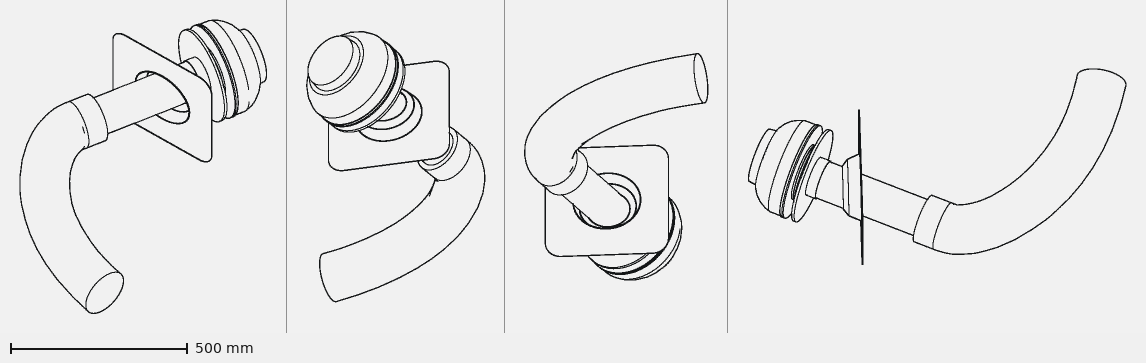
import cadquery as cq
import math

PIPE_RADIUS = 55.0
PIPE_END_Y = -337.5

COLLAR_RADIUS = 57.5
COLLAR_LENGTH = 30.0
DISC_RADIUS = 139.0
DISC_THICKNESS = 8.0
CONE_TOP_RADIUS = 100.0
CONE_TOP_Y = 13.0
STEP_TOP_Y = 18.0
SPOOL_RADIUS = 79.0
RIB_RADIUS = 83.0
RIB_BOTTOM_Y = 27.5
TOP_PLATE_BOTTOM_Y = 33.0
TOP_PLATE_THICKNESS = 4.0

CAP_BOTTOM_Y = TOP_PLATE_BOTTOM_Y + TOP_PLATE_THICKNESS
CAP_TOP_Y = 166.4
LIP_RADIUS = 140.5
LIP_HEIGHT = 6.7
DOME_RADIUS = 138.5
DOME_BASE_Y = 80.0
DOME_TOP_RADIUS = 96.0
DOME_TOP_Y = 138.0
DOME_BULGE = 8.0
NECK_BASE_RADIUS = 83.0
NECK_TOP_RADIUS = 80.0

ROOF_ANGLE = 25.0
PLATE_SIZE = 350.0
PLATE_CORNER_RADIUS = 45.0
PLATE_THICKNESS = 2.0
PLATE_CENTER = (20.4, -135.5)
HOOD_THICKNESS = 2.0
HOOD_FLARES = (36.0, 21.0, HOOD_THICKNESS)
HOOD_LEVELS = (0.0, 35.0, 50.0)

SOCKET_RADIUS = 70.8
SOCKET_LENGTH = 60.5
HOSE_RADIUS = SOCKET_RADIUS
HOSE_STUB_LENGTH = 10.0
HOSE_END = (600.5, -628.2)
HOSE_END_ANGLE = 12.9
HOSE_START_PULL = 107.0
HOSE_END_PULL = 371.0


def turned(outline):
    """Revolve a half profile of (radius, Y) about the Y axis."""
    return outline.close().revolve(360, (0, 0, 0), (0, 1, 0))


def rod(radius, top_y, length):
    """Round bar on the Y axis, running down from top_y."""
    return cq.Workplane("XZ", origin=(0, top_y, 0)).circle(radius).extrude(length)


def make_cap():
    lip_top_y = CAP_BOTTOM_Y + LIP_HEIGHT
    chord_radius = DOME_TOP_RADIUS - DOME_RADIUS
    chord_rise = DOME_TOP_Y - DOME_BASE_Y
    chord = math.hypot(chord_radius, chord_rise)
    bulge_point = (
        (DOME_RADIUS + DOME_TOP_RADIUS) / 2 + DOME_BULGE * chord_rise / chord,
        (DOME_BASE_Y + DOME_TOP_Y) / 2 - DOME_BULGE * chord_radius / chord,
    )
    outline = (
        cq.Workplane("XY")
        .moveTo(0, CAP_BOTTOM_Y)
        .lineTo(LIP_RADIUS, CAP_BOTTOM_Y)
        .lineTo(LIP_RADIUS, lip_top_y)
        .lineTo(DOME_RADIUS, lip_top_y)
        .lineTo(DOME_RADIUS, DOME_BASE_Y)
        .threePointArc(bulge_point, (DOME_TOP_RADIUS, DOME_TOP_Y))
        .lineTo(NECK_BASE_RADIUS, DOME_TOP_Y)
        .lineTo(NECK_TOP_RADIUS, CAP_TOP_Y)
        .lineTo(0, CAP_TOP_Y)
    )
    return turned(outline)


def make_disc_flange():
    outline = (
        cq.Workplane("XY")
        .moveTo(0, -COLLAR_LENGTH)
        .lineTo(COLLAR_RADIUS, -COLLAR_LENGTH)
        .lineTo(COLLAR_RADIUS, 0)
        .lineTo(DISC_RADIUS, 0)
        .lineTo(DISC_RADIUS, DISC_THICKNESS)
        .lineTo(CONE_TOP_RADIUS, CONE_TOP_Y)
        .lineTo(CONE_TOP_RADIUS, STEP_TOP_Y)
        .lineTo(SPOOL_RADIUS, STEP_TOP_Y)
        .lineTo(SPOOL_RADIUS, RIB_BOTTOM_Y)
        .lineTo(RIB_RADIUS, RIB_BOTTOM_Y)
        .lineTo(RIB_RADIUS, TOP_PLATE_BOTTOM_Y)
        .lineTo(LIP_RADIUS, TOP_PLATE_BOTTOM_Y)
        .lineTo(LIP_RADIUS, CAP_BOTTOM_Y)
        .lineTo(0, CAP_BOTTOM_Y)
    )
    return turned(outline)


def make_pipe():
    return rod(PIPE_RADIUS, -COLLAR_LENGTH, -COLLAR_LENGTH - PIPE_END_Y)


def roof_plane():
    """Plane of the plate's upper face: local x runs up the roof slope, local y along -Z."""
    slope = math.radians(ROOF_ANGLE)
    return cq.Plane(
        origin=(*PLATE_CENTER, 0),
        xDir=(math.cos(slope), math.sin(slope), 0),
        normal=(-math.sin(slope), math.cos(slope), 0),
    )


def hood_stage(lower, upper, inset):
    """Tapered stage between two hood levels; each section is the pipe's slanted section, flared out."""
    slant_radius = PIPE_RADIUS / math.cos(math.radians(ROOF_ANGLE))
    lower_flare = HOOD_FLARES[lower] - inset
    upper_flare = HOOD_FLARES[upper] - inset
    return (
        cq.Workplane(roof_plane())
        .workplane(offset=HOOD_LEVELS[lower])
        .ellipse(slant_radius + lower_flare, PIPE_RADIUS + lower_flare)
        .workplane(offset=HOOD_LEVELS[upper] - HOOD_LEVELS[lower])
        .ellipse(slant_radius + upper_flare, PIPE_RADIUS + upper_flare)
        .loft(ruled=True)
    )


def make_flashing():
    slant_radius = PIPE_RADIUS / math.cos(math.radians(ROOF_ANGLE))
    base_flare = HOOD_FLARES[0] - HOOD_THICKNESS
    plate = (
        cq.Workplane(roof_plane())
        .rect(PLATE_SIZE, PLATE_SIZE)
        .extrude(-PLATE_THICKNESS)
        .edges(cq.selectors.ParallelDirSelector(roof_plane().zDir))
        .fillet(PLATE_CORNER_RADIUS)
    )
    plate_hole = (
        cq.Workplane(roof_plane())
        .ellipse(slant_radius + base_flare, PIPE_RADIUS + base_flare)
        .extrude(-PLATE_THICKNESS)
    )
    outside = hood_stage(0, 1, 0).union(hood_stage(1, 2, 0))
    inside = hood_stage(0, 1, HOOD_THICKNESS).union(hood_stage(1, 2, HOOD_THICKNESS))
    return plate.union(outside).cut(plate_hole).cut(inside).cut(make_pipe())


def make_socket():
    return rod(SOCKET_RADIUS, PIPE_END_Y, SOCKET_LENGTH)


def make_hose():
    """Short straight stub, then one smooth bend along a cubic Bezier curve."""
    stub_top_y = PIPE_END_Y - SOCKET_LENGTH
    bend_start_y = stub_top_y - HOSE_STUB_LENGTH
    end_x, end_y = HOSE_END
    end_angle = math.radians(HOSE_END_ANGLE)
    path = cq.Workplane("XY").bezier(
        [
            (0, bend_start_y),
            (0, bend_start_y - HOSE_START_PULL),
            (end_x - HOSE_END_PULL * math.cos(end_angle), end_y - HOSE_END_PULL * math.sin(end_angle)),
            HOSE_END,
        ]
    )
    bend = cq.Workplane("XZ", origin=(0, bend_start_y, 0)).circle(HOSE_RADIUS).sweep(path)
    return rod(HOSE_RADIUS, stub_top_y, HOSE_STUB_LENGTH).union(bend)


cap = make_cap()
disc_flange = make_disc_flange()
pipe = make_pipe()
flashing = make_flashing()
socket = make_socket()
hose = make_hose()

result = cq.Compound.makeCompound(
    [
        cap.val(),
        disc_flange.val(),
        pipe.val(),
        *flashing.solids().vals(),
        socket.val(),
        *hose.solids().vals(),
    ]
)